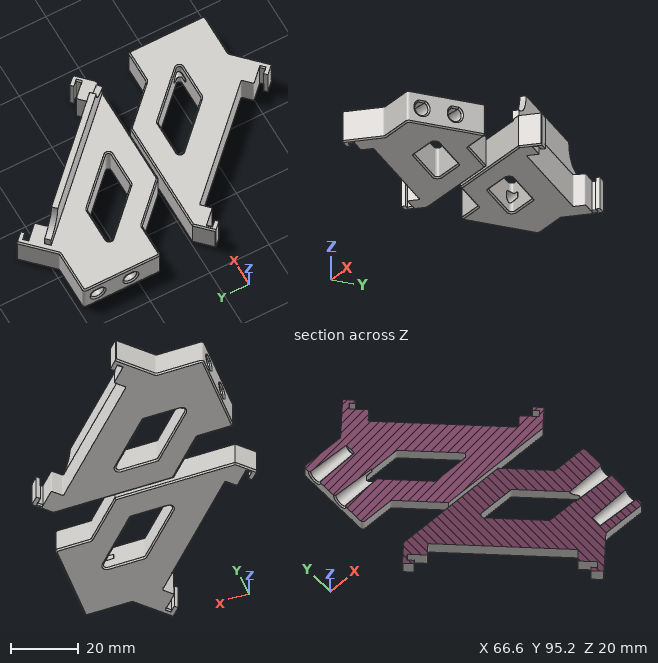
import cadquery as cq
import math

plate_height = 10.0
plate_gap = 1.0
arm_left = -32.7
arm_bottom = 12.5
arm_top = 38.5
rim_chamfer = 0.5
corner_radius = 0.95

shoulder_out = -6.3
face_out = 20.6
foot_out = 24.5
lip_inner_out = 26.3
lip_outer_out = 27.6
upper_end = -39.9
upper_slot_end = -37.8
upper_lip_tip = -35.9
upper_foot = -31.9
lower_foot = 12.4
lower_lip_tip = 16.2
lower_slot_end = 18.3
lower_end = 19.7
hook_chamfer = 0.2
foot_radius = 0.4
trim_margin = 1.9

window_bottom = 8.7
window_top = 24.0
window_inner_out = 0.95
window_outer_out = 10.85
window_radius = 0.95

hole_mouth_radius = 2.2
hole_end_radius = 1.7
hole_roof = 1.9
hole_chamfer = 0.5
hole_depth = 14.3
hole_spacing = 11.0
first_hole_y = 22.6

fence_thickness = 2.0
fence_inner_out = 17.6
fence_start = -37.9
fence_length = 54.7
fence_height = 10.0
scoop_radius = 7.0

plate_bottom = plate_gap / 2
trim_out = lip_outer_out + trim_margin
fence_end = fence_start + fence_length


def diagonal(along, out):
    """X, Y of a point given in the diagonal frame."""
    return ((along + out) / math.sqrt(2), (out - along) / math.sqrt(2))


def at_out(out, y):
    """X, Y of the point at height y on the line a given distance out."""
    return (out * math.sqrt(2) - y, y)


def at_along(along, y):
    """X, Y of the point at height y on the line a given distance along."""
    return (along * math.sqrt(2) + y, y)


def upright_plane(out, z):
    """Vertical plane facing -out: local x runs along, local y runs up."""
    return cq.Plane(origin=(*diagonal(0, out), z), xDir=(1, -1, 0), normal=(-1, -1, 0))


def prism(points, height):
    return cq.Workplane("XY").polyline(points).close().extrude(height)


def round_upright_edges(body, points, radius):
    """Fillets the vertical edges that stand at the given X, Y points."""
    for x, y in points:
        nearest = cq.selectors.NearestToPointSelector((x, y, plate_height / 2))
        body = body.edges("|Z").edges(nearest).fillet(radius)
    return body


def blank():
    """Plate with a chamfered rim, still uncut on its diagonal side."""
    arm_corners = [
        at_along(upper_end, arm_top),
        (arm_left, arm_top),
        (arm_left, arm_bottom),
        at_out(shoulder_out, arm_bottom),
    ]
    outline = arm_corners + [
        at_out(shoulder_out, plate_bottom),
        at_along(lower_end, plate_bottom),
        diagonal(lower_end, trim_out),
        diagonal(upper_end, trim_out),
    ]
    body = prism(outline, plate_height)
    body = round_upright_edges(body, arm_corners, corner_radius)
    return body.faces("<Z or >Z").edges().chamfer(rim_chamfer)


def sharp_corner():
    """Upper half of the lower hook's corner, without a rim chamfer."""
    outer_end = lip_outer_out - hook_chamfer
    outline = [
        at_out(fence_inner_out, plate_bottom),
        at_along(lower_end, plate_bottom),
        diagonal(lower_end, outer_end),
        diagonal(fence_end, outer_end),
    ]
    half_height = plate_height / 2
    return prism(outline, half_height).translate((0, 0, half_height))


def diagonal_side_cut():
    """Everything to remove outside the feet and lips, except the slots."""
    outline = [
        (upper_end, trim_out),
        (upper_end, lip_outer_out - hook_chamfer),
        (upper_end + hook_chamfer, lip_outer_out),
        (upper_lip_tip, lip_outer_out),
        (upper_lip_tip, foot_out),
        (upper_foot, foot_out),
        (upper_foot, face_out),
        (lower_foot, face_out),
        (lower_foot, foot_out),
        (lower_lip_tip, foot_out),
        (lower_lip_tip, lip_outer_out),
        (lower_end - hook_chamfer, lip_outer_out),
        (lower_end, lip_outer_out - hook_chamfer),
        (lower_end, trim_out),
    ]
    return prism([diagonal(along, out) for along, out in outline], plate_height)


def hook_slot(lip_tip, slot_end):
    """Slot under one lip, its end wall chamfered at top and bottom."""
    flared_end = slot_end + math.copysign(rim_chamfer, slot_end - lip_tip)
    profile = [
        (lip_tip, 0),
        (flared_end, 0),
        (slot_end, rim_chamfer),
        (slot_end, plate_height - rim_chamfer),
        (flared_end, plate_height),
        (lip_tip, plate_height),
    ]
    slot_width = lip_inner_out - foot_out
    return cq.Workplane(upright_plane(foot_out, 0)).polyline(profile).close().extrude(-slot_width)


def cut_hooks(body):
    body = body.cut(diagonal_side_cut())
    body = body.cut(hook_slot(upper_lip_tip, upper_slot_end))
    body = body.cut(hook_slot(lower_lip_tip, lower_slot_end))
    foot_corners = [
        diagonal(along, out)
        for along in (upper_foot, lower_foot)
        for out in (face_out, foot_out)
    ]
    return round_upright_edges(body, foot_corners, foot_radius)


def inner_rims(body, face_selector):
    """Edges around all the openings in the selected faces."""
    faces = body.faces(face_selector).vals()
    return [edge for face in faces for rim in face.innerWires() for edge in rim.Edges()]


def cut_window(body):
    outline = [
        at_out(window_inner_out, window_bottom),
        at_out(window_outer_out, window_bottom),
        at_out(window_outer_out, window_top),
        at_out(window_inner_out, window_top),
    ]
    opening = prism(outline, plate_height).edges("|Z").fillet(window_radius)
    body = body.cut(opening)
    return body.newObject(inner_rims(body, "<Z or >Z")).chamfer(rim_chamfer)


def screw_hole(y):
    axis_start = cq.Vector(arm_left, y, plate_height / 2)
    cone = cq.Solid.makeCone(hole_mouth_radius, hole_end_radius, hole_depth, axis_start, cq.Vector(1, 0, 0))
    below_roof = (
        cq.Workplane("XY")
        .box(hole_depth, 2 * hole_mouth_radius, plate_height / 2 + hole_roof, centered=(False, True, False))
        .translate((arm_left, y, 0))
    )
    return below_roof.intersect(cq.Workplane(cone))


def cut_screw_holes(body):
    for y in (first_hole_y, first_hole_y + hole_spacing):
        body = body.cut(screw_hole(y))
    return body.newObject(inner_rims(body, "<X")).chamfer(hole_chamfer)


def fence():
    """Upright wall with a quarter-round scoop at each upper corner."""
    step_height = fence_height - scoop_radius
    return (
        cq.Workplane(upright_plane(fence_inner_out, plate_height))
        .moveTo(fence_start, 0)
        .lineTo(fence_end, 0)
        .lineTo(fence_end, step_height)
        .radiusArc((fence_end - scoop_radius, fence_height), scoop_radius)
        .lineTo(fence_start + scoop_radius, fence_height)
        .radiusArc((fence_start, step_height), scoop_radius)
        .close()
        .extrude(-fence_thickness)
    )


def finish_plate(body):
    return cut_screw_holes(cut_window(cut_hooks(body)))


def make_fenced_plate():
    return finish_plate(blank().union(sharp_corner())).union(fence())


def make_plain_plate():
    """Same plate without the fence, turned half a turn about Z."""
    return finish_plate(blank()).rotate((0, 0, 0), (0, 0, 1), 180)


fenced_plate = make_fenced_plate()
plain_plate = make_plain_plate()
result = cq.Compound.makeCompound([fenced_plate.solids().val(), plain_plate.solids().val()])